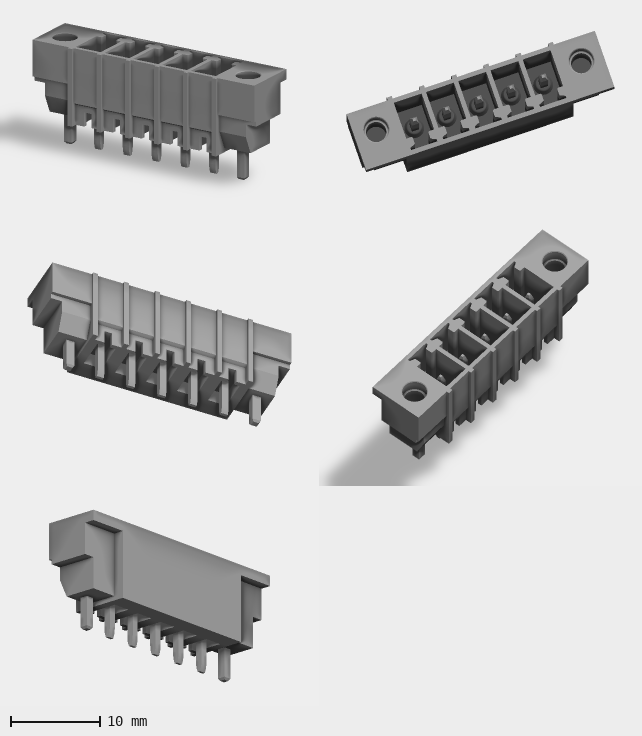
import cadquery as cq

LENGTH = 29.35
HEIGHT = 9.18
PIN_REACH = 3.23

POLES = 5
PEG_SPACING = 22.85
PITCH = PEG_SPACING / (POLES + 1)
BACK_Y = 4.0
FRONT_Y = -2.75
LOWER_FRONT_Y = -2.35
RIB_FRONT_Y = -3.08

RIB_WIDTH = 0.6
BODY_LENGTH = POLES * PITCH + RIB_WIDTH
LEDGE_TOP_Z = 2.67
LEDGE_BOTTOM_Z = 2.4

FLANGE_BOTTOM_Z = 4.22
FLANGE_LEDGE_Z = 4.85
FLANGE_BACK_Y = 2.7
RIM_BOTTOM_Z = 7.95
FOOT_LENGTH = 26.58
FOOT_BOTTOM_Z = 0.53
FOOT_SLOPE_Z = 2.73
FOOT_BOTTOM_FRONT_Y = -1.35

SCREW_SPACING = 24.23
SCREW_RECESS_DIAMETER = 2.8
SCREW_RECESS_DEPTH = 1.35
SCREW_HOLE_DIAMETER = 2.3
SCREW_HOLE_DEPTH = 4.1
SCREW_CHAMFER = 0.1

CAVITY_WIDTH = 3.3
CAVITY_BACK_Y = 2.05
CAVITY_FRONT_Y = -2.25
CAVITY_FLOOR_Z = 2.67
NECK_WIDTH = 1.85
NECK_FLOOR_Z = 3.52
NECK_CORNER = 0.12
WING_WIDTH = 3.1
WING_FLOOR_Z = 4.22
WING_BACK_Y = 3.45
WING_EDGE_Y = 3.2
WING_NECK_Y = 2.93

COLLAR_BASE_RADIUS = 1.11
COLLAR_SHOULDER_RADIUS = 0.88
COLLAR_TOP_RADIUS = 0.67
COLLAR_SHOULDER_HEIGHT = 0.55
COLLAR_HEIGHT = 0.73

POCKET_TOP_Z = 1.67
POCKET_FRONT_Y = -1.82
POCKET_WIDTH = 2.23
SLOT_WIDTH = 0.95

CONTACT_SIDE = 0.82
CONTACT_TOP_Z = 7.63
CONTACT_POINT_SIDE = 0.32
CONTACT_POINT_HEIGHT = 0.88
CONTACT_TAIL_HEIGHT = 1.15
CONTACT_TAIL_INSET = 0.23

PEG_SIDE = 1.0
PEG_TOP_Z = 2.38
PEG_CHAMFER_HEIGHT = 0.25
PEG_CHAMFER_INSET = 0.18

POLE_XS = [(i - (POLES - 1) / 2) * PITCH for i in range(POLES)]
RIB_XS = [(i - POLES / 2) * PITCH for i in range(POLES + 1)]
PEG_XS = [-PEG_SPACING / 2, PEG_SPACING / 2]
SCREW_XS = [-SCREW_SPACING / 2, SCREW_SPACING / 2]


def box(x_center, x_size, y_min, y_max, z_min, z_max):
    """Block centred on x_center that spans the given Y and Z ranges."""
    return (
        cq.Workplane("XY")
        .box(x_size, y_max - y_min, z_max - z_min, centered=(True, False, False))
        .translate((x_center, y_min, z_min))
    )


def side_profile(points, length):
    """Outline of (Y, Z) points extruded along X, centred on X = 0."""
    return cq.Workplane("YZ").polyline(points).close().extrude(length / 2, both=True)


def make_body():
    """Middle block with the stepped front and the front ribs."""
    body = side_profile(
        [
            (BACK_Y, 0),
            (BACK_Y, HEIGHT),
            (FRONT_Y, HEIGHT),
            (FRONT_Y, LEDGE_TOP_Z),
            (LOWER_FRONT_Y, LEDGE_BOTTOM_Z),
            (LOWER_FRONT_Y, 0),
        ],
        BODY_LENGTH,
    )
    for x in RIB_XS:
        body = body.union(box(x, RIB_WIDTH, RIB_FRONT_Y, CAVITY_FRONT_Y, 0, HEIGHT))
    return body


def make_flanges():
    """Both end flanges with the shorter feet under them, in one bar through the body."""
    flange = side_profile(
        [
            (BACK_Y, RIM_BOTTOM_Z),
            (BACK_Y, HEIGHT),
            (FRONT_Y, HEIGHT),
            (FRONT_Y, FLANGE_LEDGE_Z),
            (LOWER_FRONT_Y, FLANGE_LEDGE_Z),
            (LOWER_FRONT_Y, FLANGE_BOTTOM_Z),
            (FLANGE_BACK_Y, FLANGE_BOTTOM_Z),
            (FLANGE_BACK_Y, RIM_BOTTOM_Z),
        ],
        LENGTH,
    )
    foot = side_profile(
        [
            (FLANGE_BACK_Y, FOOT_BOTTOM_Z),
            (FLANGE_BACK_Y, FLANGE_BOTTOM_Z),
            (LOWER_FRONT_Y, FLANGE_BOTTOM_Z),
            (LOWER_FRONT_Y, FOOT_SLOPE_Z),
            (FOOT_BOTTOM_FRONT_Y, FOOT_BOTTOM_Z),
        ],
        FOOT_LENGTH,
    )
    return flange.union(foot)


def screw_hole(x):
    """Stepped blind hole with a chamfered mouth, as a cutter."""
    recess_radius = SCREW_RECESS_DIAMETER / 2
    hole_radius = SCREW_HOLE_DIAMETER / 2
    return (
        cq.Workplane("XZ")
        .polyline(
            [
                (0, HEIGHT),
                (recess_radius + SCREW_CHAMFER, HEIGHT),
                (recess_radius, HEIGHT - SCREW_CHAMFER),
                (recess_radius, HEIGHT - SCREW_RECESS_DEPTH),
                (hole_radius, HEIGHT - SCREW_RECESS_DEPTH),
                (hole_radius, HEIGHT - SCREW_HOLE_DEPTH),
                (0, HEIGHT - SCREW_HOLE_DEPTH),
            ]
        )
        .close()
        .revolve(360, (0, 0, 0), (0, 1, 0))
        .translate((x, 0, 0))
    )


def cavity(x):
    """Plug cavity with the T-shaped keyway behind it, as a cutter."""
    neck = NECK_WIDTH / 2
    wing = WING_WIDTH / 2
    main = box(x, CAVITY_WIDTH, CAVITY_FRONT_Y, CAVITY_BACK_Y, CAVITY_FLOOR_Z, HEIGHT)
    neck_slot = (
        cq.Workplane("XY", origin=(x, 0, NECK_FLOOR_Z))
        .polyline(
            [
                (-neck - NECK_CORNER, CAVITY_BACK_Y),
                (neck + NECK_CORNER, CAVITY_BACK_Y),
                (neck, CAVITY_BACK_Y + NECK_CORNER),
                (neck, WING_BACK_Y),
                (-neck, WING_BACK_Y),
                (-neck, CAVITY_BACK_Y + NECK_CORNER),
            ]
        )
        .close()
        .extrude(HEIGHT - NECK_FLOOR_Z)
    )
    wings = (
        cq.Workplane("XY", origin=(x, 0, WING_FLOOR_Z))
        .polyline(
            [
                (-neck, WING_NECK_Y),
                (neck, WING_NECK_Y),
                (wing, WING_EDGE_Y),
                (wing, WING_BACK_Y),
                (-wing, WING_BACK_Y),
                (-wing, WING_EDGE_Y),
            ]
        )
        .close()
        .extrude(HEIGHT - WING_FLOOR_Z)
    )
    return main.union(neck_slot).union(wings)


def collar(x):
    """Tapered collar with a rounded top edge on the cavity floor."""
    rounding_radius = COLLAR_SHOULDER_RADIUS - COLLAR_TOP_RADIUS
    return (
        cq.Workplane("XZ")
        .moveTo(0, 0)
        .lineTo(COLLAR_BASE_RADIUS, 0)
        .lineTo(COLLAR_SHOULDER_RADIUS, COLLAR_SHOULDER_HEIGHT)
        .radiusArc((COLLAR_TOP_RADIUS, COLLAR_HEIGHT), -rounding_radius)
        .lineTo(0, COLLAR_HEIGHT)
        .close()
        .revolve(360, (0, 0, 0), (0, 1, 0))
        .translate((x, 0, CAVITY_FLOOR_Z))
    )


def underside_opening(x):
    """Pocket under a pole and the slot that opens it to the front, as a cutter."""
    pocket = box(x, POCKET_WIDTH, POCKET_FRONT_Y, -POCKET_FRONT_Y, 0, POCKET_TOP_Z)
    slot = box(x, SLOT_WIDTH, LOWER_FRONT_Y, POCKET_FRONT_Y, 0, POCKET_TOP_Z)
    return pocket.union(slot)


def make_contact(x):
    """Square contact with a pointed upper end and a tail rounded at front and back."""
    half = CONTACT_SIDE / 2
    tail_half = half - CONTACT_TAIL_INSET
    tail_top = CONTACT_TAIL_HEIGHT - PIN_REACH
    shaft_top = CONTACT_TOP_Z - CONTACT_POINT_HEIGHT
    arc_radius = (CONTACT_TAIL_HEIGHT**2 + CONTACT_TAIL_INSET**2) / (2 * CONTACT_TAIL_INSET)
    shaft = (
        cq.Workplane("YZ")
        .moveTo(-half, shaft_top)
        .lineTo(-half, tail_top)
        .radiusArc((-tail_half, -PIN_REACH), -arc_radius)
        .lineTo(tail_half, -PIN_REACH)
        .radiusArc((half, tail_top), -arc_radius)
        .lineTo(half, shaft_top)
        .close()
        .extrude(half, both=True)
    )
    point = (
        cq.Workplane("XY", origin=(0, 0, shaft_top))
        .rect(CONTACT_SIDE, CONTACT_SIDE)
        .workplane(offset=CONTACT_POINT_HEIGHT)
        .rect(CONTACT_POINT_SIDE, CONTACT_POINT_SIDE)
        .loft(ruled=True)
    )
    return shaft.union(point).translate((x, 0, 0))


def make_peg(x):
    """Square mounting peg with a chamfered lower end."""
    shank_bottom = PEG_CHAMFER_HEIGHT - PIN_REACH
    end_side = PEG_SIDE - 2 * PEG_CHAMFER_INSET
    shank = box(0, PEG_SIDE, -PEG_SIDE / 2, PEG_SIDE / 2, shank_bottom, PEG_TOP_Z)
    end = (
        cq.Workplane("XY", origin=(0, 0, -PIN_REACH))
        .rect(end_side, end_side)
        .workplane(offset=PEG_CHAMFER_HEIGHT)
        .rect(PEG_SIDE, PEG_SIDE)
        .loft(ruled=True)
    )
    return shank.union(end).translate((x, 0, 0))


def make_housing(inserts):
    """Housing with a matching hole for every contact and peg."""
    housing = make_body().union(make_flanges())
    for x in SCREW_XS:
        housing = housing.cut(screw_hole(x))
    for x in POLE_XS:
        housing = housing.cut(cavity(x)).union(collar(x)).cut(underside_opening(x))
    for insert in inserts:
        housing = housing.cut(insert)
    return housing


contacts = [make_contact(x) for x in POLE_XS]
pegs = [make_peg(x) for x in PEG_XS]
housing = make_housing(contacts + pegs)

result = cq.Compound.makeCompound([housing.val(), *[part.val() for part in contacts + pegs]])